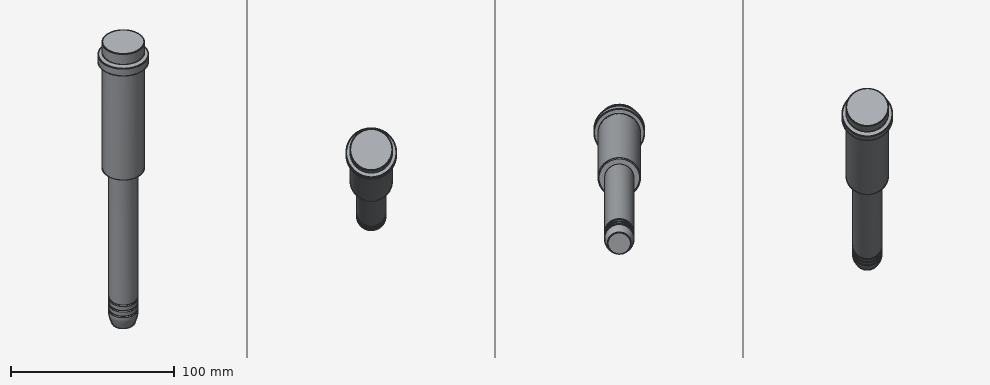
import cadquery as cq

length = 210.0
bottom = -length / 2
top = length / 2

body_diameter = 26.0
flange_diameter = 31.0
shaft_diameter = 18.0
tip_diameter = 14.5

flange_top_depth = 9.2
flange_bottom_depth = 15.1
body_length = 95.0

relief_width = 1.3

groove_count = 3
lowest_groove_height = 10.3
groove_pitch = 4.2
groove_width = 1.0

edge_chamfer = 0.5
body_end_chamfer = 0.6
tip_chamfer = 0.5
nose_height = 7.4
nose_radius = 25.0


def cylinder(diameter, low, high):
    """Solid cylinder on the Z axis between two heights."""
    return cq.Workplane("XY").workplane(offset=low).circle(diameter / 2).extrude(high - low)


def cut_ring(solid, diameter, center, width):
    """Cut a half-round groove of the given width around a cylinder."""
    cutter = (
        cq.Workplane("XZ")
        .center(diameter / 2, center)
        .circle(width / 2)
        .revolve(360, (-diameter / 2, 0, 0), (-diameter / 2, 1, 0))
    )
    return solid.cut(cutter)


def make_shaft():
    """Slim shaft with a rounded nose and ring grooves."""
    shaft_radius = shaft_diameter / 2
    tip_radius = tip_diameter / 2
    shaft = (
        cq.Workplane("XZ")
        .moveTo(0, bottom)
        .lineTo(tip_radius - tip_chamfer, bottom)
        .lineTo(tip_radius, bottom + tip_chamfer)
        .radiusArc((shaft_radius, bottom + nose_height), -nose_radius)
        .lineTo(shaft_radius, top - body_length)
        .lineTo(0, top - body_length)
        .close()
        .revolve(360, (0, 0, 0), (0, 1, 0))
    )
    for index in range(groove_count):
        center = bottom + lowest_groove_height + index * groove_pitch
        shaft = cut_ring(shaft, shaft_diameter, center, groove_width)
    return shaft


def make_body():
    """Thick upper body, chamfered at both ends, with reliefs beside the flange."""
    body = cylinder(body_diameter, top - body_length, top)
    body = body.faces(">Z").chamfer(edge_chamfer)
    body = body.faces("<Z").chamfer(body_end_chamfer)
    relief_centers = (
        top - flange_top_depth + relief_width / 2,
        top - flange_bottom_depth - relief_width / 2,
    )
    for center in relief_centers:
        body = cut_ring(body, body_diameter, center, relief_width)
    return body


def make_flange():
    """Collar with chamfered rims."""
    flange = cylinder(flange_diameter, top - flange_bottom_depth, top - flange_top_depth)
    return flange.faces("<Z or >Z").chamfer(edge_chamfer)


result = make_body().union(make_flange()).union(make_shaft())